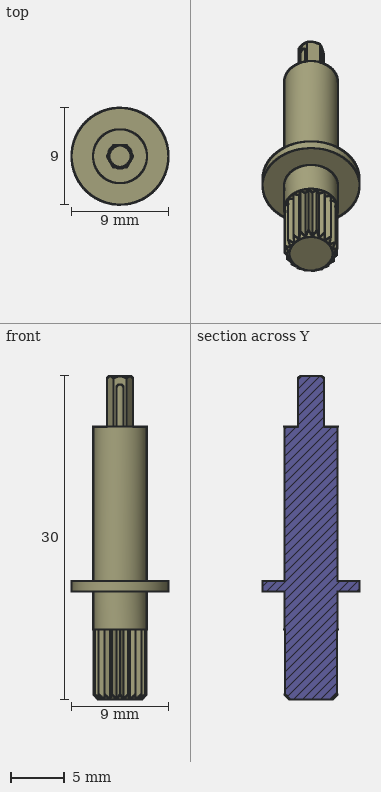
import cadquery as cq
import math

overall_length = 30.0
spline_length = 6.5
flange_bottom = 10.0
flange_thickness = 1.0
shaft_top = 25.3

shaft_diameter = 5.0
flange_diameter = 9.0

tooth_count = 20
tip_radius = 2.45
root_radius = 2.03
end_chamfer_length = 0.5
end_chamfer_depth = 0.45

hex_across_flats = 2.1
hex_end_diameter = 1.98
hex_end_slope = math.radians(45)

ridge_count = 3
ridge_first_angle = 30.0
ridge_width = 0.65
ridge_height = 0.09
ridge_top = 29.2


def make_shaft():
    body = cq.Workplane("XY").workplane(offset=spline_length)
    body = body.circle(shaft_diameter / 2).extrude(shaft_top - spline_length)
    flange = cq.Workplane("XY").workplane(offset=flange_bottom)
    flange = flange.circle(flange_diameter / 2).extrude(flange_thickness)
    return body.union(flange)


def make_spline():
    points = []
    for i in range(2 * tooth_count):
        radius = tip_radius if i % 2 == 0 else root_radius
        angle = math.pi * i / tooth_count
        points.append((radius * math.cos(angle), radius * math.sin(angle)))
    teeth = cq.Workplane("XY").polyline(points).close().extrude(spline_length)
    end_radius = tip_radius - end_chamfer_depth
    envelope = (
        cq.Workplane("XZ")
        .lineTo(end_radius, 0)
        .lineTo(tip_radius, end_chamfer_length)
        .lineTo(tip_radius, spline_length)
        .lineTo(0, spline_length)
        .close()
        .revolve(360, (0, 0), (0, 1))
    )
    return teeth.intersect(envelope)


def make_hex_drive():
    corner_radius = hex_across_flats / math.sqrt(3)
    length = overall_length - shaft_top
    drive = cq.Workplane("XY").workplane(offset=shaft_top)
    drive = drive.polygon(6, 2 * corner_radius).extrude(length)

    end_radius = hex_end_diameter / 2
    cone_height = (corner_radius - end_radius) * math.tan(hex_end_slope)
    envelope = (
        cq.Workplane("XZ")
        .moveTo(0, shaft_top)
        .lineTo(corner_radius, shaft_top)
        .lineTo(corner_radius, overall_length - cone_height)
        .lineTo(end_radius, overall_length)
        .lineTo(0, overall_length)
        .close()
        .revolve(360, (0, 0), (0, 1))
    )
    return drive.intersect(envelope)


def make_ridge(angle):
    half_width = ridge_width / 2
    crown_radius = hex_across_flats / 2 + ridge_height
    bar_radius = (half_width ** 2 + ridge_height ** 2) / (2 * ridge_height)
    bar = cq.Workplane("XY").workplane(offset=shaft_top).center(crown_radius - bar_radius, 0)
    bar = bar.circle(bar_radius).extrude(ridge_top - shaft_top)

    arc_start = ridge_top - half_width
    strip = (
        cq.Workplane("YZ")
        .moveTo(-half_width, shaft_top)
        .lineTo(half_width, shaft_top)
        .lineTo(half_width, arc_start)
        .threePointArc((0, ridge_top), (-half_width, arc_start))
        .close()
        .extrude(crown_radius)
    )
    return bar.intersect(strip).rotate((0, 0, 0), (0, 0, 1), angle)


result = make_shaft().union(make_spline()).union(make_hex_drive())
for index in range(ridge_count):
    result = result.union(make_ridge(ridge_first_angle + index * 360 / ridge_count))